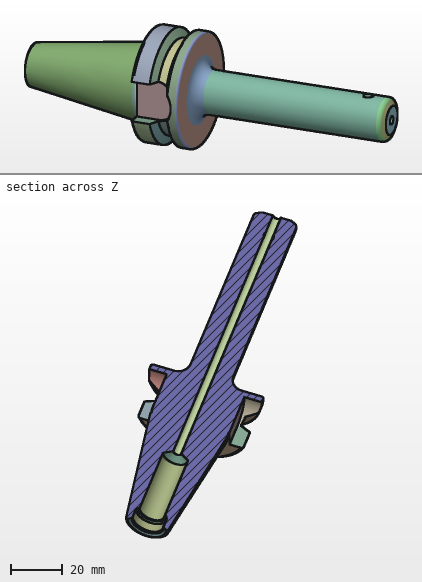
import cadquery as cq
import math

total_length = 150.4
gauge_line = 48.5
neck_start = 49.5
flange_start = 50.4
groove_start = 58.2
groove_floor_start = 60.0
groove_floor_end = 63.8
groove_end = 66.0
flange_end = 70.4

taper_ratio = 7 / 24
taper_small_radius = 17.6 / 2
taper_large_radius = taper_small_radius + gauge_line * taper_ratio / 2
taper_end_rounding = 0.9
neck_radius = 31.5 / 2

flange_radius = 46.0 / 2
groove_radius = 19.1
flange_rounding = 0.9

shank_radius = 17.6 / 2
shank_root_rounding = 5.0
tip_length = 2.7
tip_rounding = 2.1
tip_cone_length = 0.9
tip_cone_radius = 7.8
tip_face_radius = 5.7

slot_width = 16.2
slot_end = 67.7
slot_floor = 16.0

countersink_radius = 7.8
countersink_depth = 0.8
pilot_entry_radius = 13.1 / 2
pilot_radius = 12.5 / 2
pilot_entry_end = 1.4
pilot_end = 5.1
thread_chamfer_radius = 5.7
thread_chamfer_end = 6.0
drill_radius = 10.1 / 2
drill_end = 33.1
drill_point_half_angle = math.radians(59)
coolant_radius = 3.2 / 2
cross_hole_diameter = 3.9
cross_hole_x = 140.6


def make_body():
    """Revolve the taper, grooved flange and shank about the X axis."""
    rounding_mid = shank_root_rounding * (1 - math.sqrt(0.5))
    profile = (
        cq.Workplane("XY")
        .lineTo(0, taper_small_radius - taper_end_rounding)
        .radiusArc((taper_end_rounding, taper_small_radius), taper_end_rounding)
        .lineTo(gauge_line, taper_large_radius)
        .lineTo(neck_start, neck_radius)
        .lineTo(flange_start, neck_radius)
        .lineTo(flange_start, flange_radius - flange_rounding)
        .radiusArc((flange_start + flange_rounding, flange_radius), flange_rounding)
        .lineTo(groove_start, flange_radius)
        .lineTo(groove_floor_start, groove_radius)
        .lineTo(groove_floor_end, groove_radius)
        .lineTo(groove_end, flange_radius)
        .lineTo(flange_end - flange_rounding, flange_radius)
        .radiusArc((flange_end, flange_radius - flange_rounding), flange_rounding)
        .lineTo(flange_end, shank_radius + shank_root_rounding)
        .threePointArc(
            (flange_end + rounding_mid, shank_radius + rounding_mid),
            (flange_end + shank_root_rounding, shank_radius),
        )
        .lineTo(total_length - tip_length, shank_radius)
        .radiusArc((total_length - tip_cone_length, tip_cone_radius), tip_rounding)
        .lineTo(total_length, tip_face_radius)
        .lineTo(total_length, 0)
        .close()
    )
    return profile.revolve(360, (0, 0, 0), (1, 0, 0))


def make_bore():
    """Revolve the stepped socket, its conical bottom and the through coolant bore."""
    cone_length = (drill_radius - coolant_radius) / math.tan(drill_point_half_angle)
    profile = (
        cq.Workplane("XY")
        .lineTo(0, countersink_radius)
        .lineTo(countersink_depth, pilot_entry_radius)
        .lineTo(pilot_entry_end, pilot_radius)
        .lineTo(pilot_end, pilot_radius)
        .lineTo(thread_chamfer_end, thread_chamfer_radius)
        .lineTo(thread_chamfer_end, drill_radius)
        .lineTo(drill_end, drill_radius)
        .lineTo(drill_end + cone_length, coolant_radius)
        .lineTo(total_length, coolant_radius)
        .lineTo(total_length, 0)
        .close()
    )
    return profile.revolve(360, (0, 0, 0), (1, 0, 0))


def make_drive_slot(side):
    """Round-ended slot open toward the taper, on the +Y or -Y side of the flange."""
    half_width = slot_width / 2
    return (
        cq.Workplane("XZ", origin=(0, side * slot_floor, 0))
        .moveTo(flange_start, -half_width)
        .lineTo(slot_end - half_width, -half_width)
        .threePointArc((slot_end, 0), (slot_end - half_width, half_width))
        .lineTo(flange_start, half_width)
        .close()
        .extrude(-side * flange_radius)
    )


def make_cross_hole():
    """Radial hole from the top of the shank down to the coolant bore."""
    return (
        cq.Workplane("XY")
        .center(cross_hole_x, 0)
        .circle(cross_hole_diameter / 2)
        .extrude(2 * shank_radius)
    )


result = make_body().cut(make_bore()).cut(make_cross_hole())
for slot_side in (-1, 1):
    result = result.cut(make_drive_slot(slot_side))